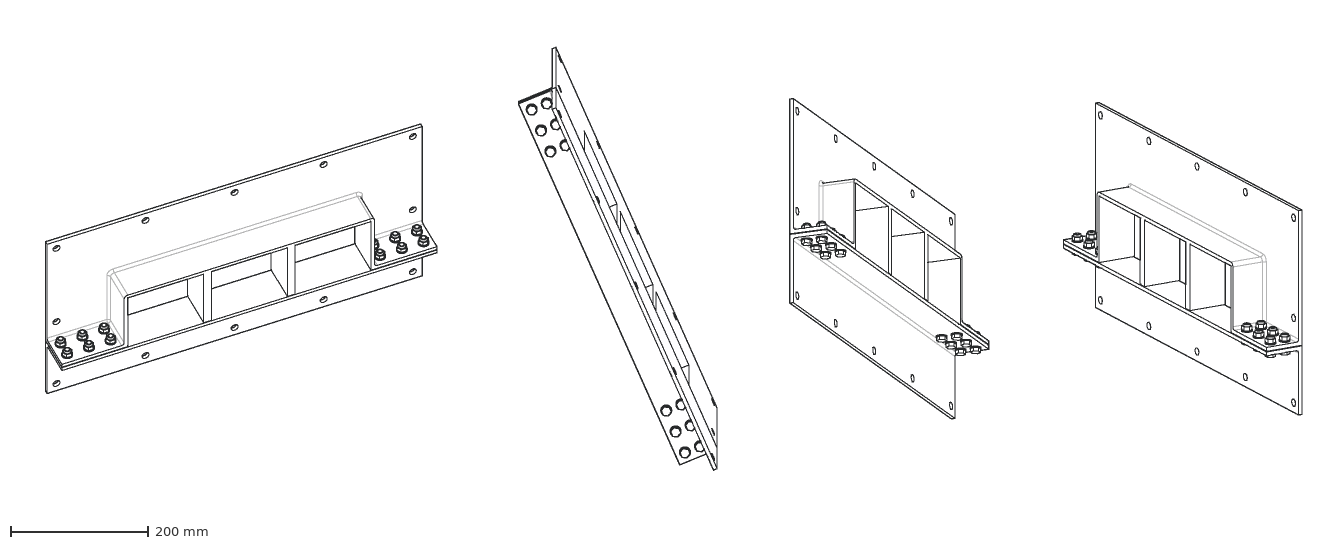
import cadquery as cq
import math

LENGTH = 597.5
HEIGHT = 313.0
DEPTH = 60.0
SHEET = 6.0

LOWER_HEIGHT = 105.0
JOINT_GAP = 1.0
ROOT_RADIUS = 4.0

OPENING_COUNT = 3
OPENING_WIDTH = 120.5
MULLION = 12.5
OPENING_PITCH = OPENING_WIDTH + MULLION
OPENING_TOP_MARGIN = 105.0

BOX_WIDTH = OPENING_COUNT * OPENING_PITCH - MULLION + 2 * SHEET
BOX_BOTTOM = LOWER_HEIGHT + JOINT_GAP
BOX_TOP = HEIGHT - OPENING_TOP_MARGIN + SHEET
BOX_CORNER_RADIUS = SHEET

HOLE_DIAMETER = 11.0
HOLE_INSET = 15.0
HOLE_COLUMNS = 5
SIDE_HOLE_HEIGHT = 144.5

BOLT_COLUMNS_X = (21.0, 45.0)
BOLTS_PER_ROW = 3
BOLT_PITCH = 34.5
BOLT_END_INSET = 15.0
BOLT_DIAMETER = 8.0
BOLT_TIP_DIAMETER = 6.5
BOLT_TIP_CHAMFER = (BOLT_DIAMETER - BOLT_TIP_DIAMETER) / 2
WASHER_DIAMETER = 16.0
WASHER_THICKNESS = 1.6
HEX_ACROSS_FLATS = 13.0
HEAD_HEIGHT = 5.5
NUT_HEX_HEIGHT = 6.0
NUT_COLLAR_DIAMETER = 11.5
NUT_COLLAR_HEIGHT = 3.0
NUT_COLLAR_ROUNDING = 1.5


def block(x_range, y_range, z_range):
    """Box spanning the given (low, high) ranges."""
    ranges = (x_range, y_range, z_range)
    size = [high - low for low, high in ranges]
    corner = tuple(low for low, high in ranges)
    return cq.Workplane("XY").box(*size, centered=False).translate(corner)


def edges_at(x_range, y_range, z_range):
    """Selector for the edges whose centres lie inside the given ranges."""
    low, high = zip(x_range, y_range, z_range)
    return cq.selectors.BoxSelector(low, high)


def lower_angle():
    """Plate with a flange along its top edge, rounded in the inside corner."""
    full_length = (-LENGTH / 2, LENGTH / 2)
    flange_bottom = LOWER_HEIGHT - SHEET
    plate = block((0, SHEET), full_length, (0, LOWER_HEIGHT))
    flange = block((0, DEPTH), full_length, (flange_bottom, LOWER_HEIGHT))
    root = cq.selectors.NearestToPointSelector((SHEET, 0, flange_bottom))
    return plate.union(flange).edges(root).fillet(ROOT_RADIUS)


def upper_frame():
    """Plate, side flanges and box, with the openings cut through."""
    full_length = (-LENGTH / 2, LENGTH / 2)
    flange_top = BOX_BOTTOM + SHEET
    plate = block((0, SHEET), full_length, (BOX_BOTTOM, HEIGHT))
    flanges = block((0, DEPTH), full_length, (BOX_BOTTOM, flange_top))
    box = block((0, DEPTH), (-BOX_WIDTH / 2, BOX_WIDTH / 2), (BOX_BOTTOM, BOX_TOP))
    box = box.edges("|X and >Z").fillet(BOX_CORNER_RADIUS)
    frame = plate.union(flanges).union(box)

    tol = 0.05
    inside_ends = (-LENGTH / 2 + tol, LENGTH / 2 - tol)
    beyond_plate = (SHEET + tol, DEPTH - tol)
    behind_plate = edges_at((SHEET - tol, SHEET + tol), inside_ends, (flange_top - tol, BOX_TOP + tol))
    beside_box = edges_at(beyond_plate, inside_ends, (flange_top - tol, flange_top + tol))
    frame = frame.edges(behind_plate + beside_box).fillet(ROOT_RADIUS)

    for index in range(OPENING_COUNT):
        centre = (index - (OPENING_COUNT - 1) / 2) * OPENING_PITCH
        sides = (centre - OPENING_WIDTH / 2, centre + OPENING_WIDTH / 2)
        frame = frame.cut(block((0, DEPTH), sides, (BOX_BOTTOM, BOX_TOP - SHEET)))
    return frame


def mounting_holes():
    """Cutters for the holes along the top and bottom edges and at both ends."""
    end = LENGTH / 2 - HOLE_INSET
    pitch = 2 * end / (HOLE_COLUMNS - 1)
    points = [(side * end, SIDE_HOLE_HEIGHT) for side in (-1, 1)]
    for column in range(HOLE_COLUMNS):
        for z in (HOLE_INSET, HEIGHT - HOLE_INSET):
            points.append((-end + column * pitch, z))
    return cq.Workplane("YZ").pushPoints(points).circle(HOLE_DIAMETER / 2).extrude(SHEET)


def cylinder(diameter, bottom, height):
    """Upright cylinder on the Z axis."""
    return cq.Workplane("XY", origin=(0, 0, bottom)).circle(diameter / 2).extrude(height)


def hexagon(bottom, height):
    """Hexagonal prism with two flats square to X."""
    corner_diameter = HEX_ACROSS_FLATS / math.cos(math.pi / 6)
    prism = cq.Workplane("XY", origin=(0, 0, bottom)).polygon(6, corner_diameter).extrude(height)
    return prism.rotate((0, 0, 0), (0, 0, 1), 30)


def bolt():
    """Bolt on the Z axis: head and washer below the flanges, washer and nut above them."""
    joint_bottom = LOWER_HEIGHT - SHEET
    joint_top = BOX_BOTTOM + SHEET
    head_bottom = joint_bottom - WASHER_THICKNESS - HEAD_HEIGHT
    nut_bottom = joint_top + WASHER_THICKNESS
    collar_bottom = nut_bottom + NUT_HEX_HEIGHT
    tip = collar_bottom + NUT_COLLAR_HEIGHT + BOLT_TIP_CHAMFER

    head = hexagon(head_bottom, HEAD_HEIGHT)
    lower_washer = cylinder(WASHER_DIAMETER, joint_bottom - WASHER_THICKNESS, WASHER_THICKNESS)
    upper_washer = cylinder(WASHER_DIAMETER, joint_top, WASHER_THICKNESS)

    nut = hexagon(nut_bottom, NUT_HEX_HEIGHT)
    collar = cylinder(NUT_COLLAR_DIAMETER, collar_bottom, NUT_COLLAR_HEIGHT)
    collar = collar.faces(">Z").edges().fillet(NUT_COLLAR_ROUNDING)

    shank = cylinder(BOLT_DIAMETER, head_bottom, tip - head_bottom)
    shank = shank.faces(">Z").chamfer(BOLT_TIP_CHAMFER)
    return head.union(lower_washer).union(upper_washer).union(nut).union(collar).union(shank)


result = lower_angle().union(upper_frame()).cut(mounting_holes())

one_bolt = bolt()
for x in BOLT_COLUMNS_X:
    for row in range(BOLTS_PER_ROW):
        y = LENGTH / 2 - BOLT_END_INSET - row * BOLT_PITCH
        for side in (-1, 1):
            result = result.union(one_bolt.translate((x, side * y, 0)))